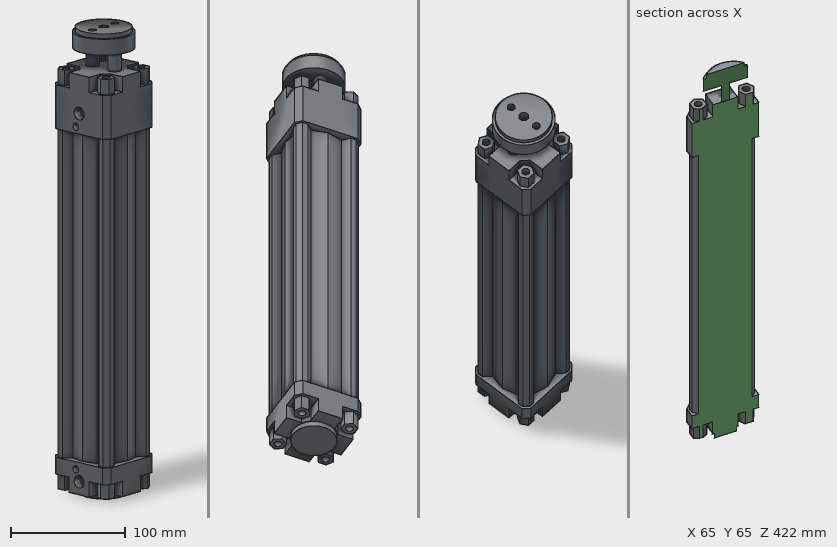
import cadquery as cq
import math

TOTAL_HEIGHT = 422.0
BOSS_HEIGHT = 5.0
REAR_CAP_TOP = 34.0
FRONT_CAP_BOTTOM = 331.3
FRONT_CAP_TOP = 385.0
PLATE_BOTTOM = 403.5
PLATE_STEP = 4.2

CAP_WIDTH = 65.0
CAP_CHAMFER = 5.5
BOSS_DIAMETER = 40.0

POCKET_DEPTH = 14.0
POCKET_WALL = 12.0
POCKET_CORNER_CHAMFER = 6.0
POST_OFFSET = 23.0
POST_ACROSS_FLATS = 13.0
POST_HOLE_DIAMETER = 6.8
POST_HOLE_DEPTH = 17.0
DRILL_POINT_ANGLE = 118.0

PORT_DIAMETER = 11.5
SCREW_DIAMETER = 6.5
SCREW_OFFSET = -4.0
SIDE_HOLE_DEPTH = 8.5
FRONT_PORT_HEIGHT = 350.0
FRONT_SCREW_HEIGHT = 337.0
REAR_PORT_HEIGHT = 17.0
REAR_SCREW_HEIGHT = 27.5

TUBE_HALF_WIDTH = 30.5
TUBE_CHAMFER = 4.2
RIDGE_HEIGHT = 28.0
GROOVE_FLOOR_HEIGHT = 24.0
GROOVE_OUTER = 21.0
GROOVE_INNER = 14.8

ROD_DIAMETER = 12.0
ROD_OFFSET = 12.5
PLATE_DIAMETER = 55.0
PLATE_TOP_DIAMETER = 50.0
PLATE_CENTER_HOLE = 8.5
PLATE_SIDE_HOLE = 6.8
PLATE_SIDE_HOLE_OFFSET = 14.8
PLATE_HOLE_DEPTH = 10.5


def about_axis(shape, quarter_turns):
    """The shape turned about the cylinder axis by a number of quarter turns."""
    return shape.rotate((0, 0, 0), (0, 0, 1), 90 * quarter_turns)


def cylinder(x, y, z, diameter, height):
    """Upright cylinder whose lower face is centred at (x, y, z)."""
    return cq.Workplane("XY", origin=(x, y, z)).circle(diameter / 2).extrude(height)


def corner_pocket():
    """Material removed around the post of the -X, -Y corner, rising from z = 0."""
    size = CAP_WIDTH / 2 - POCKET_WALL
    center = -POCKET_WALL - size / 2
    pocket = cq.Workplane("XY").center(center, center).rect(size, size).extrude(POCKET_DEPTH)
    pocket = pocket.edges(">X and >Y").chamfer(POCKET_CORNER_CHAMFER)
    across_corners = POST_ACROSS_FLATS / math.cos(math.pi / 6)
    post = cq.Workplane("XY").center(-POST_OFFSET, -POST_OFFSET).polygon(6, across_corners)
    return pocket.cut(post.extrude(POCKET_DEPTH))


def post_hole():
    """Hole with a conical bottom, drilled down from z = 0 in the -X, -Y post."""
    radius = POST_HOLE_DIAMETER / 2
    point = radius / math.tan(math.radians(DRILL_POINT_ANGLE / 2))
    profile = [(0, 0), (radius, 0), (radius, -POST_HOLE_DEPTH), (0, -POST_HOLE_DEPTH - point)]
    hole = cq.Workplane("XZ").polyline(profile).close().revolve(360, (0, 0), (0, 1))
    return hole.translate((-POST_OFFSET, -POST_OFFSET, 0))


def end_cap(height):
    """Square cap from z = 0 with its four pockets and posts at the top."""
    cap = cq.Workplane("XY").rect(CAP_WIDTH, CAP_WIDTH).extrude(height)
    cap = cap.edges("|Z").chamfer(CAP_CHAMFER)
    pocket = corner_pocket().translate((0, 0, height - POCKET_DEPTH))
    hole = post_hole().translate((0, 0, height))
    for corner in range(4):
        cap = cap.cut(about_axis(pocket, corner))
        cap = cap.cut(about_axis(hole, corner))
    return cap


def groove():
    """Recess along the +Y side of the tube, its floor raised to a ridge in the middle."""
    outline = [
        (-GROOVE_OUTER, TUBE_HALF_WIDTH),
        (-GROOVE_INNER, GROOVE_FLOOR_HEIGHT),
        (0, RIDGE_HEIGHT),
        (GROOVE_INNER, GROOVE_FLOOR_HEIGHT),
        (GROOVE_OUTER, TUBE_HALF_WIDTH),
    ]
    base = cq.Workplane("XY", origin=(0, 0, REAR_CAP_TOP))
    return base.polyline(outline).close().extrude(FRONT_CAP_BOTTOM - REAR_CAP_TOP)


def make_tube():
    width = 2 * TUBE_HALF_WIDTH
    tube = cq.Workplane("XY", origin=(0, 0, REAR_CAP_TOP)).rect(width, width)
    tube = tube.extrude(FRONT_CAP_BOTTOM - REAR_CAP_TOP)
    tube = tube.edges("|Z").chamfer(TUBE_CHAMFER)
    for side in range(4):
        tube = tube.cut(about_axis(groove(), side))
    return tube


def side_hole(x, z, diameter):
    """Blind hole running inward from the -Y face of a cap."""
    start = cq.Workplane("XZ", origin=(x, -CAP_WIDTH / 2, z))
    return start.circle(diameter / 2).extrude(-SIDE_HOLE_DEPTH)


def make_cylinder_body():
    front_cap = end_cap(FRONT_CAP_TOP - FRONT_CAP_BOTTOM).translate((0, 0, FRONT_CAP_BOTTOM))
    rear_cap = end_cap(REAR_CAP_TOP - BOSS_HEIGHT).mirror("XY").translate((0, 0, REAR_CAP_TOP))
    boss = cylinder(0, 0, 0, BOSS_DIAMETER, BOSS_HEIGHT)
    body = make_tube().union(front_cap).union(rear_cap).union(boss)
    for height in (FRONT_PORT_HEIGHT, REAR_PORT_HEIGHT):
        body = body.cut(side_hole(0, height, PORT_DIAMETER))
    for height in (FRONT_SCREW_HEIGHT, REAR_SCREW_HEIGHT):
        body = body.cut(side_hole(SCREW_OFFSET, height, SCREW_DIAMETER))
    return body


def make_rod_assembly():
    """Tool plate carried by two rods that meet the top of the front cap."""
    step_height = TOTAL_HEIGHT - PLATE_STEP
    plate = cylinder(0, 0, PLATE_BOTTOM, PLATE_DIAMETER, step_height - PLATE_BOTTOM)
    plate = plate.union(cylinder(0, 0, step_height, PLATE_TOP_DIAMETER, PLATE_STEP))
    hole_floor = TOTAL_HEIGHT - PLATE_HOLE_DEPTH
    plate = plate.cut(cylinder(0, 0, hole_floor, PLATE_CENTER_HOLE, PLATE_HOLE_DEPTH))
    for side in (-1, 1):
        y = side * PLATE_SIDE_HOLE_OFFSET
        plate = plate.cut(cylinder(0, y, hole_floor, PLATE_SIDE_HOLE, PLATE_HOLE_DEPTH))
        x = side * ROD_OFFSET
        plate = plate.union(cylinder(x, 0, FRONT_CAP_TOP, ROD_DIAMETER, PLATE_BOTTOM - FRONT_CAP_TOP))
    return plate


cylinder_body = make_cylinder_body()
rod_assembly = make_rod_assembly()

result = cq.Compound.makeCompound([cylinder_body.val(), rod_assembly.val()])